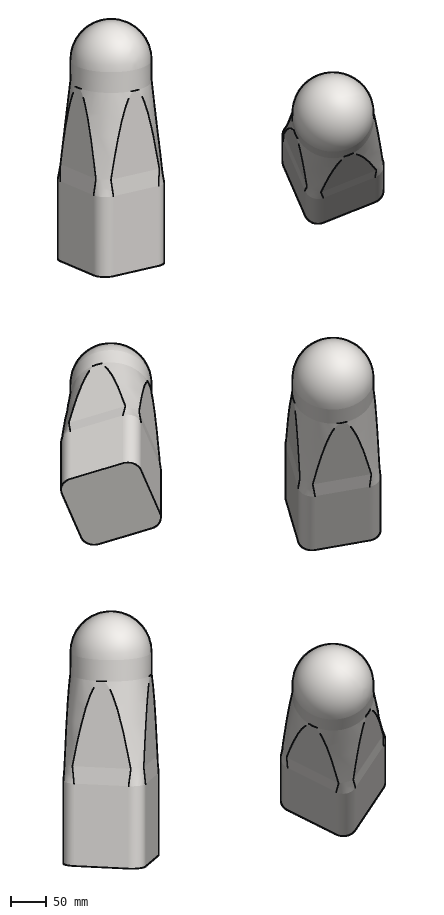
import cadquery as cq
import math

total_height = 359.5
base_width = 120.0
base_height = 120.0
base_corner_radius = 20.0
neck_diameter = 116.0
shoulder_top = 145.0
cone_top = 270.5
cone_flat_length = 85.5

neck_radius = neck_diameter / 2
dome_bottom = total_height - neck_radius
cone_bottom_radius = math.hypot(neck_radius, cone_flat_length / 2)
base_flat_length = base_width - 2 * base_corner_radius
base_corner_reach = math.sqrt(2) * base_flat_length / 2 + base_corner_radius


def turned(x, y, z, angle):
    """Point rotated about the Z axis by an angle in radians."""
    cosine = math.cos(angle)
    sine = math.sin(angle)
    return cq.Vector(x * cosine - y * sine, x * sine + y * cosine, z)


def rounded_square(width, flat_length, corner_reach, height):
    """Square wire with arc corners; corner_reach is the axis-to-corner distance."""
    edges = []
    side = width / 2
    half_flat = flat_length / 2
    corner_mid = corner_reach / math.sqrt(2)
    for quarter in range(4):
        angle = quarter * math.pi / 2
        flat_start = turned(side, -half_flat, height, angle)
        flat_end = turned(side, half_flat, height, angle)
        arc_mid = turned(corner_mid, corner_mid, height, angle)
        arc_end = turned(half_flat, side, height, angle)
        edges.append(cq.Edge.makeLine(flat_start, flat_end))
        edges.append(cq.Edge.makeThreePointArc(flat_end, arc_mid, arc_end))
    return cq.Wire.assembleEdges(edges)


def make_base():
    """Straight square block with rounded vertical edges."""
    block = cq.Workplane("XY").rect(base_width, base_width).extrude(base_height)
    return block.edges("|Z").fillet(base_corner_radius)


def make_shoulder():
    """Slightly tapered transition from the base to the foot of the cone."""
    lower = rounded_square(base_width, base_flat_length, base_corner_reach, base_height)
    upper = rounded_square(neck_diameter, cone_flat_length, cone_bottom_radius, shoulder_top)
    return cq.Workplane(cq.Solid.makeLoft([lower, upper], True))


def make_flatted_cone():
    """Cone cut by four vertical flats that end tangent to the neck."""
    cone_height = cone_top - shoulder_top
    cone = cq.Workplane(
        cq.Solid.makeCone(cone_bottom_radius, neck_radius, cone_height, cq.Vector(0, 0, shoulder_top))
    )
    envelope = (
        cq.Workplane("XY")
        .workplane(offset=shoulder_top)
        .rect(neck_diameter, neck_diameter)
        .extrude(cone_height)
    )
    return cone.intersect(envelope)


def make_domed_neck():
    """Cylindrical neck closed by a hemisphere, revolved as one profile."""
    dome_mid = neck_radius / math.sqrt(2)
    return (
        cq.Workplane("XZ")
        .moveTo(0, cone_top)
        .lineTo(neck_radius, cone_top)
        .lineTo(neck_radius, dome_bottom)
        .threePointArc((dome_mid, dome_bottom + dome_mid), (0, total_height))
        .close()
        .revolve(360, (0, 0), (0, 1))
    )


result = make_base().union(make_shoulder()).union(make_flatted_cone()).union(make_domed_neck())